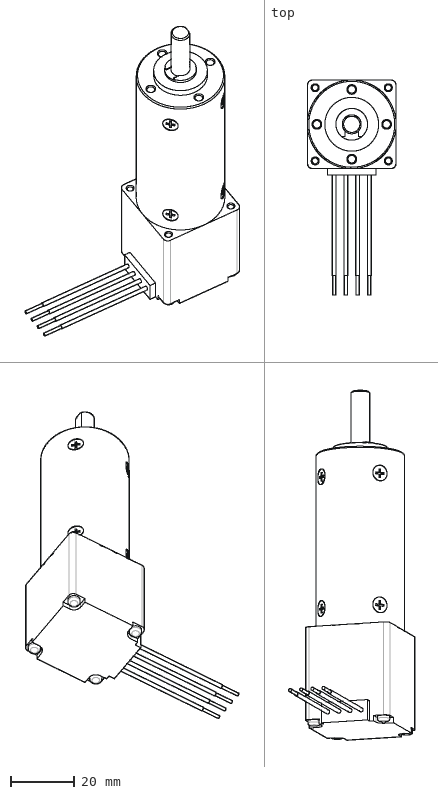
import cadquery as cq
import math

motor_side = 28.0
motor_height = 31.6
motor_corner_radius = 1.6
bolt_spacing = 23.1

mount_hole_diameter = 1.9
mount_hole_depth = 4.4
hole_rim_chamfer = 0.3
drill_point_angle = 118.0

pocket_radius = 2.5
pocket_height = 1.7
case_screw_diameter = 3.9
case_screw_height = 1.5
case_screw_round = 0.8

connector_width = 15.4
connector_height = 6.5
connector_front_y = -16.0
wire_count = 4
wire_pitch = 3.7
wire_z = 3.4
insulation_diameter = 1.3
insulation_end_y = -47.7
core_diameter = 1.04
core_end_y = -54.0

gearbox_diameter = 28.0
gearbox_top = 88.8
gearbox_chamfer = 0.4
face_hole_circle_radius = 11.0
face_hole_diameter = 2.4
face_hole_depth = 5.0

boss_diameter = 17.0
boss_top = 91.0

retainer_diameter = 10.0
retainer_top = 92.0
retainer_gap_width = 4.4
retainer_gap_depth = 0.3
retainer_flat_y = -3.9

shaft_diameter = 6.0
shaft_top = 109.0
shaft_chamfer = 0.4
shaft_flat_depth = 0.5
shaft_flat_bottom = 94.1

screw_heights = (38.0, 80.4)
screw_angles = (45, 135, 225, 315)
screw_head_diameter = 5.0
screw_seat_radius = 13.7
cross_length = 2.7
cross_width = 0.5
cross_depth = 0.7


def cylinder(diameter, bottom, top):
    """Upright cylinder on the Z axis."""
    return cq.Workplane("XY").workplane(offset=bottom).circle(diameter / 2).extrude(top - bottom)


def block(x_range, y_range, z_range):
    """Axis-aligned box given by its limits."""
    size = [high - low for low, high in (x_range, y_range, z_range)]
    corner = (x_range[0], y_range[0], z_range[0])
    return cq.Workplane("XY").box(*size, centered=False).translate(corner)


def at_quarter_turns(shape):
    """Copies of a shape at its own place and at three further quarter turns about Z."""
    copies = cq.Workplane("XY")
    for angle in (0, 90, 180, 270):
        copies = copies.add(shape.rotate((0, 0, 0), (0, 0, 1), angle).val())
    return copies.combine()


def chamfered_hole_cutter(diameter, depth, tip_height=0):
    """Vertical blind hole below the XY plane with a chamfered rim and an optional conical tip."""
    radius = diameter / 2
    profile = (
        cq.Workplane("XZ")
        .lineTo(radius + hole_rim_chamfer, 0)
        .lineTo(radius, -hole_rim_chamfer)
        .lineTo(radius, -depth)
        .lineTo(0, -depth - tip_height)
        .close()
    )
    return profile.revolve(360, (0, 0, 0), (0, 1, 0))


def mount_hole_cutter():
    """Drilled hole in the motor's +X +Y corner, with a drill point at its end."""
    tip_height = mount_hole_diameter / 2 / math.tan(math.radians(drill_point_angle / 2))
    cutter = chamfered_hole_cutter(mount_hole_diameter, mount_hole_depth, tip_height)
    return cutter.translate((bolt_spacing / 2, bolt_spacing / 2, motor_height))


def face_hole_cutter():
    """Flat-bottomed hole in the output face, on the +X axis."""
    cutter = chamfered_hole_cutter(face_hole_diameter, face_hole_depth)
    return cutter.translate((face_hole_circle_radius, 0, gearbox_top))


def corner_pocket_cutter():
    """Notch in a bottom corner, rounded around the case screw."""
    inner = bolt_spacing / 2 - pocket_radius
    outer = motor_side / 2
    pocket = block((inner, outer), (inner, outer), (0, pocket_height))
    return pocket.edges("|Z and <X and <Y").fillet(pocket_radius)


def case_screw_head():
    """Round-edged screw head hanging from the roof of a corner pocket."""
    head = cylinder(case_screw_diameter, pocket_height - case_screw_height, pocket_height)
    head = head.faces("<Z").edges().fillet(case_screw_round)
    return head.translate((bolt_spacing / 2, bolt_spacing / 2, 0))


def lead_wire(x):
    """Insulated wire with a bare end, running along -Y from the connector."""
    plane = cq.Workplane("XZ", origin=(x, connector_front_y, wire_z))
    insulation = plane.circle(insulation_diameter / 2).extrude(connector_front_y - insulation_end_y)
    core = plane.circle(core_diameter / 2).extrude(connector_front_y - core_end_y)
    return insulation.union(core)


def build_motor():
    half = motor_side / 2
    motor = block((-half, half), (-half, half), (0, motor_height))
    motor = motor.edges("|Z").fillet(motor_corner_radius)
    motor = motor.cut(at_quarter_turns(mount_hole_cutter()))
    motor = motor.cut(at_quarter_turns(corner_pocket_cutter()))
    motor = motor.union(at_quarter_turns(case_screw_head()))

    connector_half = connector_width / 2
    connector = block(
        (-connector_half, connector_half), (connector_front_y, -half), (0, connector_height)
    )
    motor = motor.union(connector)
    for index in range(wire_count):
        motor = motor.union(lead_wire((index - (wire_count - 1) / 2) * wire_pitch))
    return motor


def output_shaft():
    """Chamfered D-shaft with its flat on the +Y side."""
    radius = shaft_diameter / 2
    shaft = cylinder(shaft_diameter, boss_top, shaft_top).faces(">Z").chamfer(shaft_chamfer)
    flat = block(
        (-radius, radius), (radius - shaft_flat_depth, radius), (shaft_flat_bottom, shaft_top)
    )
    return shaft.cut(flat)


def shaft_retainer():
    """Disc around the shaft, lowered in a gap on its -Y side."""
    radius = retainer_diameter / 2
    half_gap = retainer_gap_width / 2
    z_range = (retainer_top - retainer_gap_depth, retainer_top)
    gap = block((-half_gap, half_gap), (-radius, 0), z_range)
    flat = block((-radius, radius), (-radius, retainer_flat_y), z_range)
    return cylinder(retainer_diameter, boss_top, retainer_top).cut(gap).cut(flat)


def screw_cutter(angle, height):
    """Flat screw seat with a cross recess, cut radially into the wall."""
    wall = gearbox_diameter / 2 - screw_seat_radius
    seat = cq.Workplane("YZ", origin=(screw_seat_radius, 0, 0)).circle(screw_head_diameter / 2)
    cutter = seat.extrude(wall)
    recess = cq.Workplane("YZ", origin=(screw_seat_radius - cross_depth, 0, 0))
    cutter = cutter.union(recess.rect(cross_length, cross_width).extrude(cross_depth))
    cutter = cutter.union(recess.rect(cross_width, cross_length).extrude(cross_depth))
    return cutter.translate((0, 0, height)).rotate((0, 0, 0), (0, 0, 1), angle)


def build_gearbox():
    gearbox = cylinder(gearbox_diameter, motor_height, gearbox_top)
    gearbox = gearbox.faces(">Z").chamfer(gearbox_chamfer)
    gearbox = gearbox.cut(at_quarter_turns(face_hole_cutter()))
    gearbox = gearbox.union(cylinder(boss_diameter, gearbox_top, boss_top))
    gearbox = gearbox.union(shaft_retainer()).union(output_shaft())
    for height in screw_heights:
        for angle in screw_angles:
            gearbox = gearbox.cut(screw_cutter(angle, height))
    return gearbox


motor = build_motor()
gearbox = build_gearbox()

result = cq.Compound.makeCompound([motor.val(), gearbox.val()])